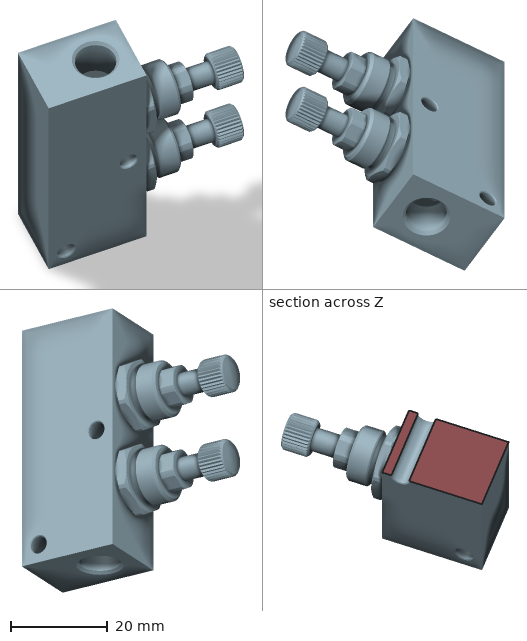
import math

import cadquery as cq

BODY_WIDTH = 16.0
BODY_DEPTH = 22.0
BODY_HEIGHT = 53.0
MID_HEIGHT = BODY_HEIGHT / 2

PORT_Y = 14.0
PORT_DIAMETER = 8.57
PORT_MOUTH_DIAMETER = 9.8
PORT_DEPTH = 9.0
PASSAGE_DIAMETER = 3.5
PASSAGE_OFFSET = 2.1
PASSAGE_TIP_ANGLE = 118.0

MOUNTING_DIAMETER = 3.8
MOUNTING_CHAMFER = 0.2
MOUNTING_INSET = 4.0
MOUNTING_PLACES = [
    (BODY_DEPTH - MOUNTING_INSET, MID_HEIGHT),
    (MOUNTING_INSET, MOUNTING_INSET),
]

VALVE_SPACING = 19.0
VALVE_LENGTH = 24.2

NUT_START = 0.3
NUT_END = 2.75
COLLAR_START = 4.1
COLLAR_END = 8.8
HEX_END = 12.3
KNOB_START = 17.8
KNOB_RIM_END = 23.85

LOCKNUT_FLATS = 14.0
LOCKNUT_CORNERS = 15.7
CORNER_BEVEL_ANGLE = 30.0
HEXAGON_HALF_SIDE_ANGLE = 30.0
NECK_DIAMETER = 10.4
NECK_FILLET = 0.5
NECK_END_DIAMETER = NECK_DIAMETER + 2 * NECK_FILLET
COLLAR_DIAMETER = 12.0
COLLAR_CHAMFER = (COLLAR_DIAMETER - NECK_END_DIAMETER) / 2
COLLAR_TOP_CHAMFER = 0.55
HEX_FLATS = 8.0
HEX_CORNERS = 8.57
STEM_DIAMETER = 5.0

KNOB_DIAMETER = 8.0
KNOB_ROOT_DIAMETER = 7.3
KNOB_END_DIAMETER = 7.0
KNOB_CHAMFER = (KNOB_DIAMETER - KNOB_END_DIAMETER) / 2
KNOB_TEETH = 32


def cylinder(diameter, start, end):
    """Cylinder along the valve axis between two distances from the body."""
    return cq.Workplane("XY").workplane(offset=start).circle(diameter / 2).extrude(end - start)


def revolved(profile):
    """Solid turned about the valve axis from a closed (radius, distance) profile."""
    return profile.close().revolve(360, (0, 0, 0), (0, 1, 0))


def hexagon_nut(flats, corners, start, end):
    """Hexagon facing +X and -X, its corners turned to a diameter and bevelled at both ends."""
    corner = corners / 2
    face = flats / 2
    bevel = (corner - face) * math.tan(math.radians(CORNER_BEVEL_ANGLE))
    envelope = revolved(
        cq.Workplane("XZ")
        .moveTo(0, start)
        .lineTo(face, start)
        .lineTo(corner, start + bevel)
        .lineTo(corner, end - bevel)
        .lineTo(face, end)
        .lineTo(0, end)
    )
    sharp_corners = flats / math.cos(math.radians(HEXAGON_HALF_SIDE_ANGLE))
    prism = cq.Workplane("XY").workplane(offset=start).polygon(6, sharp_corners).extrude(end - start)
    return prism.rotate((0, 0, 0), (0, 0, 1), HEXAGON_HALF_SIDE_ANGLE).intersect(envelope)


def locknut():
    """Large nut standing on a thin round washer face."""
    washer_face = cylinder(LOCKNUT_FLATS, 0, NUT_START)
    return washer_face.union(hexagon_nut(LOCKNUT_FLATS, LOCKNUT_CORNERS, NUT_START, NUT_END))


def neck_and_collar():
    """Neck filleted out to the nut and to a chamfered round collar."""
    neck = NECK_DIAMETER / 2
    neck_end = NECK_END_DIAMETER / 2
    collar = COLLAR_DIAMETER / 2
    return revolved(
        cq.Workplane("XZ")
        .moveTo(0, NUT_END)
        .lineTo(neck_end, NUT_END)
        .radiusArc((neck, NUT_END + NECK_FILLET), NECK_FILLET)
        .lineTo(neck, COLLAR_START - NECK_FILLET)
        .radiusArc((neck_end, COLLAR_START), NECK_FILLET)
        .lineTo(collar, COLLAR_START + COLLAR_CHAMFER)
        .lineTo(collar, COLLAR_END - COLLAR_TOP_CHAMFER)
        .lineTo(collar - COLLAR_TOP_CHAMFER, COLLAR_END)
        .lineTo(0, COLLAR_END)
    )


def knob():
    """Knob with straight V-shaped teeth, chamfered rims and a domed end."""
    tooth_angle = 2 * math.pi / KNOB_TEETH
    outline = []
    for tooth in range(KNOB_TEETH):
        for diameter, step in ((KNOB_ROOT_DIAMETER, 0), (KNOB_DIAMETER, 0.5)):
            angle = (tooth + step) * tooth_angle
            outline.append((diameter / 2 * math.cos(angle), diameter / 2 * math.sin(angle)))
    toothed = (
        cq.Workplane("XY")
        .workplane(offset=KNOB_START)
        .polyline(outline)
        .close()
        .extrude(VALVE_LENGTH - KNOB_START)
    )

    rim = KNOB_DIAMETER / 2
    end = KNOB_END_DIAMETER / 2
    dome_rise = VALVE_LENGTH - KNOB_RIM_END
    dome_radius = (end**2 + dome_rise**2) / (2 * dome_rise)
    half_sweep = math.asin(end / dome_radius) / 2
    dome_middle = (
        dome_radius * math.sin(half_sweep),
        VALVE_LENGTH - dome_radius * (1 - math.cos(half_sweep)),
    )
    envelope = revolved(
        cq.Workplane("XZ")
        .moveTo(0, KNOB_START)
        .lineTo(end, KNOB_START)
        .lineTo(rim, KNOB_START + KNOB_CHAMFER)
        .lineTo(rim, KNOB_RIM_END - KNOB_CHAMFER)
        .lineTo(end, KNOB_RIM_END)
        .threePointArc(dome_middle, (0, VALVE_LENGTH))
    )
    return toothed.intersect(envelope)


def valve():
    """Complete adjusting valve standing along +Z from the origin."""
    stem = cylinder(STEM_DIAMETER, COLLAR_END, KNOB_START)
    guide = hexagon_nut(HEX_FLATS, HEX_CORNERS, COLLAR_END, HEX_END)
    return locknut().union(neck_and_collar()).union(guide).union(stem).union(knob())


def port_cutter():
    """Tool for the upper port: chamfered bore, flat floor and off-centre drill point."""
    port_radius = PORT_DIAMETER / 2
    mouth_radius = PORT_MOUTH_DIAMETER / 2
    floor = BODY_HEIGHT - PORT_DEPTH
    bore = revolved(
        cq.Workplane("XZ")
        .moveTo(0, floor)
        .lineTo(port_radius, floor)
        .lineTo(port_radius, BODY_HEIGHT - (mouth_radius - port_radius))
        .lineTo(mouth_radius, BODY_HEIGHT)
        .lineTo(0, BODY_HEIGHT)
    )
    passage_radius = PASSAGE_DIAMETER / 2
    tip_depth = passage_radius / math.tan(math.radians(PASSAGE_TIP_ANGLE / 2))
    drill_point = revolved(
        cq.Workplane("XZ").moveTo(0, floor - tip_depth).lineTo(passage_radius, floor).lineTo(0, floor)
    )
    return bore.union(drill_point.translate((0, -PASSAGE_OFFSET, 0))).translate((0, PORT_Y, 0))


def mounting_cutter(y, z):
    """Tool for one mounting hole, chamfered at both side faces."""
    radius = MOUNTING_DIAMETER / 2
    side = BODY_WIDTH / 2
    cutter = revolved(
        cq.Workplane("XZ")
        .moveTo(0, -side)
        .lineTo(radius + MOUNTING_CHAMFER, -side)
        .lineTo(radius, -side + MOUNTING_CHAMFER)
        .lineTo(radius, side - MOUNTING_CHAMFER)
        .lineTo(radius + MOUNTING_CHAMFER, side)
        .lineTo(0, side)
    )
    return cutter.rotate((0, 0, 0), (0, 1, 0), 90).translate((0, y, z))


def body():
    """Drilled rectangular block."""
    block = cq.Workplane("XY").box(BODY_WIDTH, BODY_DEPTH, BODY_HEIGHT, centered=(True, False, False))
    upper_port = port_cutter()
    lower_port = upper_port.mirror("XY", (0, 0, MID_HEIGHT))
    block = block.cut(upper_port).cut(lower_port)
    for y, z in MOUNTING_PLACES:
        block = block.cut(mounting_cutter(y, z))
    return block


result = body()
outward_valve = valve().rotate((0, 0, 0), (1, 0, 0), -90)
for valve_height in (MID_HEIGHT - VALVE_SPACING / 2, MID_HEIGHT + VALVE_SPACING / 2):
    result = result.union(outward_valve.translate((0, BODY_DEPTH, valve_height)))